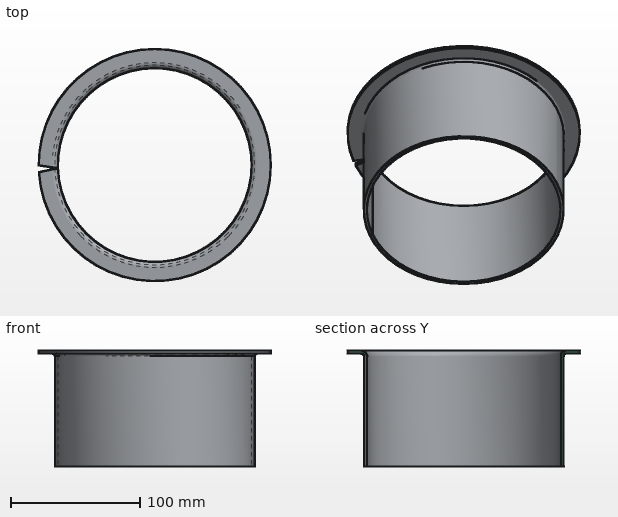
import cadquery as cq

flange_radius = 90.0
height = 90.0
wall = 2.5
bore_diameter = 150.0
bend_inner_radius = 2.0

slit_width = 0.5
notch_mouth_width = 5.2
split_angle = 1.85

bore_radius = bore_diameter / 2
tube_radius = bore_radius + wall
bend_outer_radius = bend_inner_radius + wall


def make_sleeve():
    """Tube and flange of constant wall, joined by a concentric bend."""
    bend_center_radius = bore_radius + bend_outer_radius
    bend_center_height = height - bend_outer_radius
    tube_and_flange = (
        cq.Workplane("XZ")
        .moveTo(bore_radius, 0)
        .lineTo(tube_radius, 0)
        .lineTo(tube_radius, bend_center_height)
        .radiusArc((bend_center_radius, height - wall), bend_inner_radius)
        .lineTo(flange_radius, height - wall)
        .lineTo(flange_radius, height)
        .lineTo(bend_center_radius, height)
        .radiusArc((bore_radius, bend_center_height), -bend_outer_radius)
        .close()
    )
    return tube_and_flange.revolve(360, (0, 0, 0), (0, 1, 0))


def make_split_cutter():
    """Full-height slit through the tube, widening outward from the tube surface."""
    clearance = 1.8
    mouth_slope = (notch_mouth_width - slit_width) / (2 * (flange_radius - tube_radius))
    half_slit = slit_width / 2
    half_end = notch_mouth_width / 2 + mouth_slope * clearance
    inner_x = -(bore_radius - clearance)
    outer_x = -(flange_radius + clearance)
    outline = [
        (inner_x, half_slit),
        (-tube_radius, half_slit),
        (outer_x, half_end),
        (outer_x, -half_end),
        (-tube_radius, -half_slit),
        (inner_x, -half_slit),
    ]
    cutter = cq.Workplane("XY").polyline(outline).close().extrude(height)
    return cutter.rotate((0, 0, 0), (0, 0, 1), split_angle)


result = make_sleeve().cut(make_split_cutter())